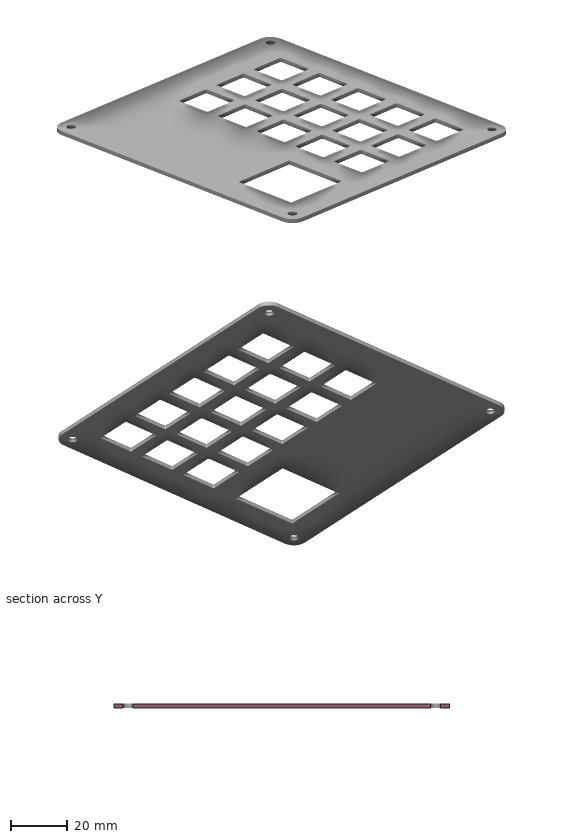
import cadquery as cq

plate_width = 119.0
plate_depth = 112.0
plate_thickness = 1.5
corner_radius = 5.0

screw_hole_diameter = 3.5

key_columns = 5
key_rows = 3
key_size = 14.0
key_pitch = 19.0
key_corner_radius = 0.5
key_right_margin = 12.0
key_top_margin = 12.0

window_size = 26.0
window_right_margin = 11.9
window_bottom_margin = 11.5

right_edge = plate_width / 2
top_edge = plate_depth / 2


def make_plate():
    """Flat plate with rounded corners, centred in X and Y, resting on Z = 0."""
    centering = (True, True, False)
    plate = cq.Workplane("XY").box(plate_width, plate_depth, plate_thickness, centered=centering)
    return plate.edges("|Z").fillet(corner_radius)


def make_screw_holes():
    """Cylinders that cut the four corner screw holes."""
    spacing_x = plate_width - 2 * corner_radius
    spacing_y = plate_depth - 2 * corner_radius
    return (
        cq.Workplane("XY")
        .rarray(spacing_x, spacing_y, 2, 2)
        .circle(screw_hole_diameter / 2)
        .extrude(plate_thickness)
    )


def make_key_openings():
    """Square prisms with slightly rounded corners that cut the key grid."""
    grid_width = (key_columns - 1) * key_pitch + key_size
    grid_depth = (key_rows - 1) * key_pitch + key_size
    grid_x = right_edge - key_right_margin - grid_width / 2
    grid_y = top_edge - key_top_margin - grid_depth / 2
    return (
        cq.Workplane("XY")
        .center(grid_x, grid_y)
        .rarray(key_pitch, key_pitch, key_columns, key_rows)
        .rect(key_size, key_size)
        .extrude(plate_thickness)
        .edges("|Z")
        .fillet(key_corner_radius)
    )


def make_window():
    """Square prism that cuts the large window."""
    window_x = right_edge - window_right_margin - window_size / 2
    window_y = -top_edge + window_bottom_margin + window_size / 2
    return (
        cq.Workplane("XY")
        .center(window_x, window_y)
        .rect(window_size, window_size)
        .extrude(plate_thickness)
    )


result = make_plate().cut(make_screw_holes()).cut(make_key_openings()).cut(make_window())